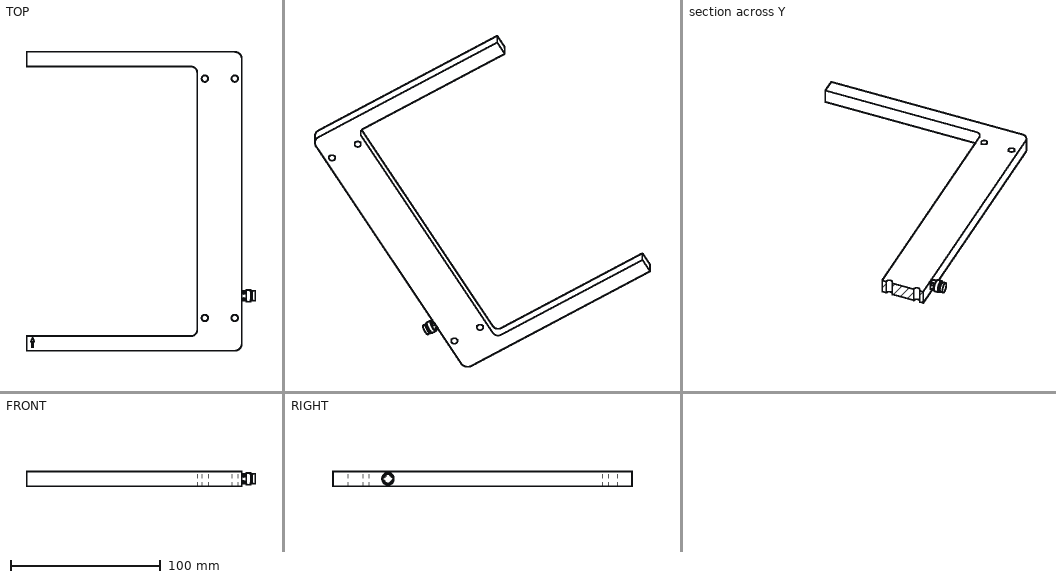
import cadquery as cq

body_length = 144.0
body_width = 200.0
thickness = 10.0
arm_width = 10.0
bridge_width = 30.0
outer_radius = 5.0
inner_radius = 4.0

hole_diameter = 4.2
hole_spacing_x = 20.0
hole_spacing_y = 160.0
hole_edge_x = 4.8
hole_edge_y = 22.0

connector_y = 36.8
neck_length = 3.0
neck_diameter = 6.8
connector_steps = [
    (neck_length, neck_diameter),
    (2.8, 8.0),
    (0.5, 5.8),
    (0.5, 6.8),
    (0.5, 5.8),
    (2.0, 6.8),
]

window_diameter = 2.0
window_depth = 1.0
window_count = 4

arrow_x = 4.0
arrow_tail_y = 2.5
arrow_head_y = 6.0
arrow_tip_y = 8.8
arrow_shaft_width = 1.0
arrow_head_width = 2.5
engraving_depth = 0.2


def fork_body():
    opening_length = body_length - bridge_width
    opening_width = body_width - 2 * arm_width
    body = cq.Workplane("XY").box(body_length, body_width, thickness, centered=False)
    body = body.edges("|Z and >X").fillet(outer_radius)
    opening = (
        cq.Workplane("XY")
        .box(opening_length, opening_width, thickness, centered=False)
        .translate((0, arm_width, 0))
        .edges("|Z and >X")
        .fillet(inner_radius)
    )
    return body.cut(opening)


def mounting_holes():
    right_x = body_length - hole_edge_x
    centers = [
        (x, y)
        for x in (right_x - hole_spacing_x, right_x)
        for y in (hole_edge_y, hole_edge_y + hole_spacing_y)
    ]
    return cq.Workplane("XY").pushPoints(centers).circle(hole_diameter / 2).extrude(thickness)


def disc(start, length, diameter):
    """Cylinder along X on the connector axis, from start to start + length."""
    plane = cq.Workplane("YZ", origin=(start, connector_y, thickness / 2))
    return plane.circle(diameter / 2).extrude(length)


def neck_windows():
    window = (
        cq.Workplane("XY", origin=(neck_length / 2, 0, neck_diameter / 2 - window_depth))
        .circle(window_diameter / 2)
        .extrude(2 * window_depth)
    )
    windows = cq.Workplane("XY")
    step = 360 / window_count
    for i in range(window_count):
        windows = windows.add(window.rotate((0, 0, 0), (1, 0, 0), (i + 0.5) * step))
    return windows.combine().translate((body_length, connector_y, thickness / 2))


def add_connector(body):
    start = body_length
    for length, diameter in connector_steps:
        body = body.union(disc(start, length, diameter))
        start += length
    return body.cut(neck_windows())


def arrow_engraving():
    shaft = arrow_shaft_width / 2
    head = arrow_head_width / 2
    outline = [
        (-shaft, arrow_tail_y),
        (shaft, arrow_tail_y),
        (shaft, arrow_head_y),
        (head, arrow_head_y),
        (0, arrow_tip_y),
        (-head, arrow_head_y),
        (-shaft, arrow_head_y),
    ]
    plane = cq.Workplane("XY", origin=(arrow_x, 0, thickness - engraving_depth))
    return plane.polyline(outline).close().extrude(engraving_depth)


body = fork_body().cut(mounting_holes()).cut(arrow_engraving())
result = add_connector(body)